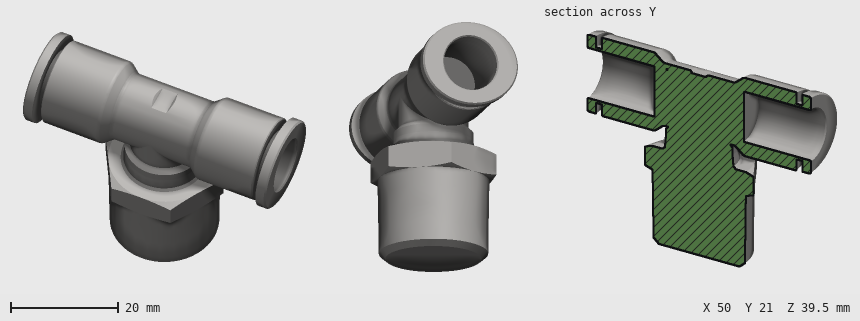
import cadquery as cq
import math

overall_length = 50.0
body_diameter = 16.3
waist_diameter = 13.1
body_half_length = 21.75
body_end_chamfer = 0.2
cone_outer_x = 9.97
cone_length = 2.0
cone_blend_radius = 1.0

flange_width = 18.5
flange_height = 16.0
flange_thickness = 2.0
flange_chamfer = 0.3
neck_diameter = 11.6
bore_diameter = 10.3
bore_chamfer = 0.25
bore_depth = 15.0

notch_floor_z = 6.05
notch_floor_length = 3.0
notch_wall_angle = 45.0

branch_diameter = waist_diameter
shoulder_top_z = -6.1
shoulder_diameter = 15.0
shoulder_height = (shoulder_diameter - branch_diameter) / 2
flare_top_z = -8.6
flare_bottom_z = -10.85
flare_diameter = 15.4
foot_diameter = 16.4

nut_top_z = -11.3
nut_height = 5.0
nut_across_flats = 21.0
nut_corner_drop = 0.55
nut_bottom_z = nut_top_z - nut_height
nut_across_corners = nut_across_flats / math.cos(math.radians(30))

plug_length = 15.0
plug_top_diameter = 20.95
plug_bottom_diameter = 20.5
plug_tip_diameter = 18.0
plug_chamfer_height = 1.05
plug_bottom_z = nut_bottom_z - plug_length


def revolve_about_z(points):
    """Solid of revolution about Z from (radius, z) points."""
    return cq.Workplane("XZ").polyline(points).close().revolve(360, (0, 0), (0, 1))


def make_run():
    """Waisted tube: two body sleeves joined to a thinner middle by blended cones."""
    body_radius = body_diameter / 2
    waist_radius = waist_diameter / 2
    cone_inner_x = cone_outer_x - cone_length
    profile = [
        (-body_half_length, 0),
        (-body_half_length, body_radius - body_end_chamfer),
        (-body_half_length + body_end_chamfer, body_radius),
        (-cone_outer_x, body_radius),
        (-cone_inner_x, waist_radius),
        (cone_inner_x, waist_radius),
        (cone_outer_x, body_radius),
        (body_half_length - body_end_chamfer, body_radius),
        (body_half_length, body_radius - body_end_chamfer),
        (body_half_length, 0),
    ]
    run = cq.Workplane("XZ").polyline(profile).close().revolve(360, (0, 0), (1, 0))
    reach = cone_outer_x + body_end_chamfer
    cone_region = cq.selectors.BoxSelector(
        (-reach, -waist_radius, -waist_radius),
        (reach, waist_radius, waist_radius),
    )
    cone_ends = run.edges("%CIRCLE").edges(cone_region)
    return cone_ends.fillet(cone_blend_radius)


def make_release_collar():
    """Oval flange and round neck at the +X end of the run."""
    end_x = overall_length / 2
    flange = (
        cq.Workplane("YZ", origin=(end_x - flange_thickness, 0, 0))
        .ellipse(flange_width / 2, flange_height / 2)
        .extrude(flange_thickness)
        .faces(">X")
        .edges()
        .chamfer(flange_chamfer)
    )
    neck = (
        cq.Workplane("YZ", origin=(end_x - bore_depth, 0, 0))
        .circle(neck_diameter / 2)
        .extrude(bore_depth - flange_thickness)
    )
    return flange.union(neck)


def make_tube_bore():
    """Cutter for the chamfered blind tube socket at the +X end of the run."""
    end_x = overall_length / 2
    bore_radius = bore_diameter / 2
    profile = [
        (end_x - bore_depth, 0),
        (end_x - bore_depth, bore_radius),
        (end_x - bore_chamfer, bore_radius),
        (end_x, bore_radius + bore_chamfer),
        (end_x, 0),
    ]
    return cq.Workplane("XZ").polyline(profile).close().revolve(360, (0, 0), (1, 0))


def make_notch():
    """Cutter for the flat notch across the top of the waist."""
    depth = waist_diameter / 2 - notch_floor_z
    return (
        cq.Workplane("XY", origin=(0, 0, notch_floor_z))
        .rect(notch_floor_length, waist_diameter)
        .extrude(depth, taper=-notch_wall_angle)
    )


def make_stem():
    """Branch, shoulder, flare and foot, from the run axis down to the nut."""
    return revolve_about_z([
        (0, 0),
        (branch_diameter / 2, 0),
        (branch_diameter / 2, shoulder_top_z),
        (shoulder_diameter / 2, shoulder_top_z - shoulder_height),
        (shoulder_diameter / 2, flare_top_z),
        (flare_diameter / 2, flare_bottom_z),
        (foot_diameter / 2, nut_top_z),
        (0, nut_top_z),
    ])


def make_nut():
    """Hexagon with its corners turned off conically on both faces."""
    hexagon = (
        cq.Workplane("XY", origin=(0, 0, nut_bottom_z))
        .polygon(6, nut_across_corners)
        .extrude(nut_height)
    )
    turned_blank = revolve_about_z([
        (0, nut_top_z),
        (nut_across_flats / 2, nut_top_z),
        (nut_across_corners / 2, nut_top_z - nut_corner_drop),
        (nut_across_corners / 2, nut_bottom_z + nut_corner_drop),
        (nut_across_flats / 2, nut_bottom_z),
        (0, nut_bottom_z),
    ])
    return hexagon.intersect(turned_blank)


def make_plug():
    """Tapered plug with a chamfered tip."""
    return revolve_about_z([
        (0, nut_bottom_z),
        (plug_top_diameter / 2, nut_bottom_z),
        (plug_bottom_diameter / 2, plug_bottom_z + plug_chamfer_height),
        (plug_tip_diameter / 2, plug_bottom_z),
        (0, plug_bottom_z),
    ])


collar = make_release_collar()
bore = make_tube_bore()

result = make_run().union(make_stem()).union(make_nut()).union(make_plug())
for end_part in (collar, collar.mirror("YZ")):
    result = result.union(end_part)
for end_bore in (bore, bore.mirror("YZ")):
    result = result.cut(end_bore)
result = result.cut(make_notch())